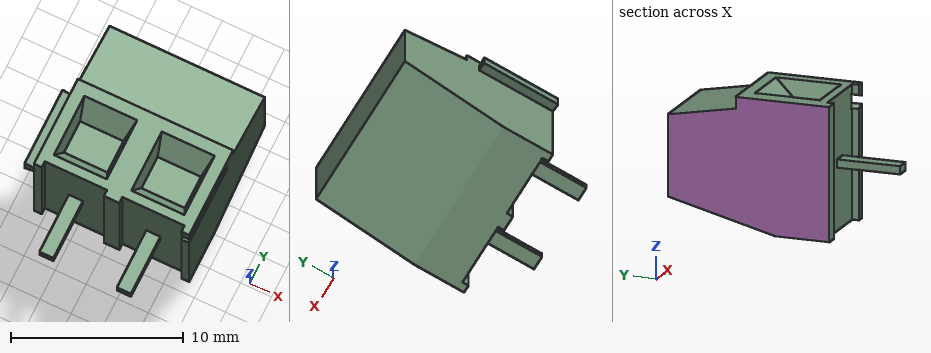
import cadquery as cq

pole_pitch = 5.0
pole_count = 2
body_width = 10.0
body_depth = 10.0
body_height = 8.2
pole_centers = [body_width / 2 + (i - (pole_count - 1) / 2) * pole_pitch for i in range(pole_count)]

bottom_flat = 3.33
back_bottom_z = 1.7
back_top_z = 6.7
step_y = 5.8
step_drop = 0.7

recess_width = 4.0
recess_depth = 0.4

well_width = 3.4
well_front_y = 1.0
well_back_y = 5.02
well_floor_width = 2.8
well_floor_front_y = 1.7
well_floor_back_y = 3.83
well_depth = 1.0

pin_width = 0.9
pin_thickness = 0.5
pin_length = 3.5
pin_center_z = 4.08

rail_depth = 0.6
rail_length = 5.0
rail_center_z = 7.15
rail_wide = 0.9
rail_narrow = 0.5


def make_body():
    outline = [
        (0, 0),
        (bottom_flat, 0),
        (body_depth, back_bottom_z),
        (body_depth, back_top_z),
        (step_y, body_height - step_drop),
        (step_y, body_height),
        (0, body_height),
    ]
    return cq.Workplane("YZ").polyline(outline).close().extrude(body_width)


def make_recess(center_x):
    return cq.Workplane("XY").box(
        recess_width, recess_depth, body_height, centered=(True, False, False)
    ).translate((center_x, 0, 0))


def make_well(center_x):
    mouth_y = (well_front_y + well_back_y) / 2
    floor_y = (well_floor_front_y + well_floor_back_y) / 2
    return (
        cq.Workplane("XY", origin=(center_x, mouth_y, body_height))
        .rect(well_width, well_back_y - well_front_y)
        .workplane(offset=-well_depth)
        .center(0, floor_y - mouth_y)
        .rect(well_floor_width, well_floor_back_y - well_floor_front_y)
        .loft(ruled=True)
    )


def make_pin(center_x):
    return cq.Workplane("XY").box(
        pin_width, pin_length + recess_depth, pin_thickness, centered=(True, False, True)
    ).translate((center_x, -pin_length, pin_center_z))


def make_dovetail(root_x):
    outline = [
        (root_x, rail_center_z - rail_narrow / 2),
        (root_x, rail_center_z + rail_narrow / 2),
        (root_x - rail_depth, rail_center_z + rail_wide / 2),
        (root_x - rail_depth, rail_center_z - rail_wide / 2),
    ]
    return cq.Workplane("XZ").polyline(outline).close().extrude(-rail_length)


result = make_body()
for pole_x in pole_centers:
    result = result.cut(make_recess(pole_x)).cut(make_well(pole_x)).union(make_pin(pole_x))
result = result.cut(make_dovetail(body_width)).union(make_dovetail(0))